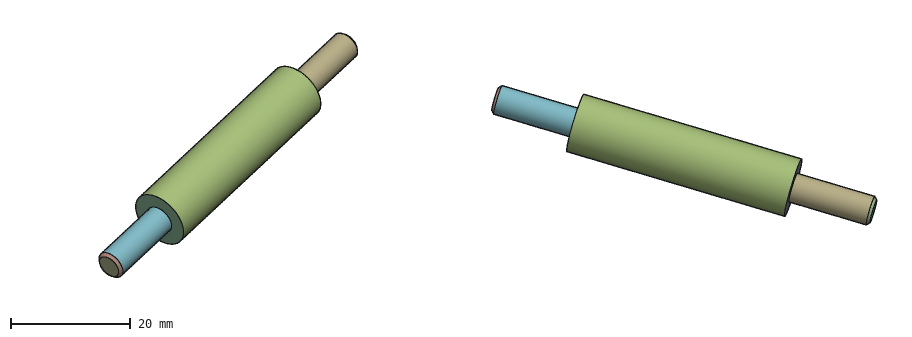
import cadquery as cq

total_length = 66.0
pin_length = 14.0
body_diameter = 10.0
pin_diameter = 5.0
tip_chamfer = 0.5

body_length = total_length - 2 * pin_length


def cylinder_along_y(diameter, length):
    """Cylinder on the Y axis, centred on the origin."""
    start = cq.Workplane("XZ", origin=(0, length / 2, 0))
    return start.circle(diameter / 2).extrude(length)


body = cylinder_along_y(body_diameter, body_length)

pins = cylinder_along_y(pin_diameter, total_length).faces("<Y or >Y").edges().chamfer(tip_chamfer)

result = body.union(pins)